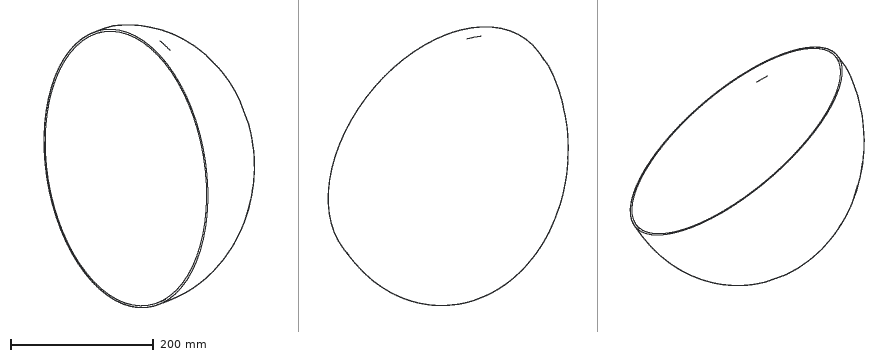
import cadquery as cq
import math

dome_radius = 178.35
dome_half_height = 230.2
wall = 3.0
rim_tilt = 15.0
junction_offset = 17.4
collar_depth = 20.0

tilt_sin = math.sin(math.radians(rim_tilt))
tilt_cos = math.cos(math.radians(rim_tilt))
inward = cq.Vector(0, tilt_cos, -tilt_sin)
outward = -inward


def ellipsoid(radius, half_height):
    """Solid ellipsoid of revolution about Z."""
    return (
        cq.Workplane("XZ")
        .moveTo(0, -half_height)
        .ellipseArc(radius, half_height, -90, 90, startAtCurrent=True)
        .close()
        .revolve(360, (0, 0), (0, 1))
    )


def dome_side_block():
    """Block, larger than the whole ellipsoid, on the dome side of the junction plane."""
    plane = cq.Plane(inward * junction_offset, cq.Vector(1, 0, 0), inward)
    block_size = 3 * dome_half_height
    return cq.Workplane(plane).rect(block_size, block_size).extrude(block_size)


def collar(radius, half_height):
    """Elliptical cylinder from the ellipsoid's section at the junction plane out to the rim."""
    reach = math.hypot(radius * tilt_cos, half_height * tilt_sin)
    shrink = math.sqrt(1 - (junction_offset / reach) ** 2)
    half_width = radius * shrink
    half_length = radius * half_height / reach * shrink
    section_centre = cq.Vector(
        0,
        junction_offset * radius**2 * tilt_cos / reach**2,
        -junction_offset * half_height**2 * tilt_sin / reach**2,
    )
    plane = cq.Plane(section_centre, cq.Vector(1, 0, 0), outward)
    return cq.Workplane(plane).ellipse(half_width, half_length).extrude(collar_depth)


def filled_shape(inset):
    """Dome and collar as one solid, with both ellipsoid semi-axes reduced by inset."""
    radius = dome_radius - inset
    half_height = dome_half_height - inset
    dome = ellipsoid(radius, half_height).intersect(dome_side_block())
    return dome.union(collar(radius, half_height))


result = filled_shape(0).cut(filled_shape(wall))